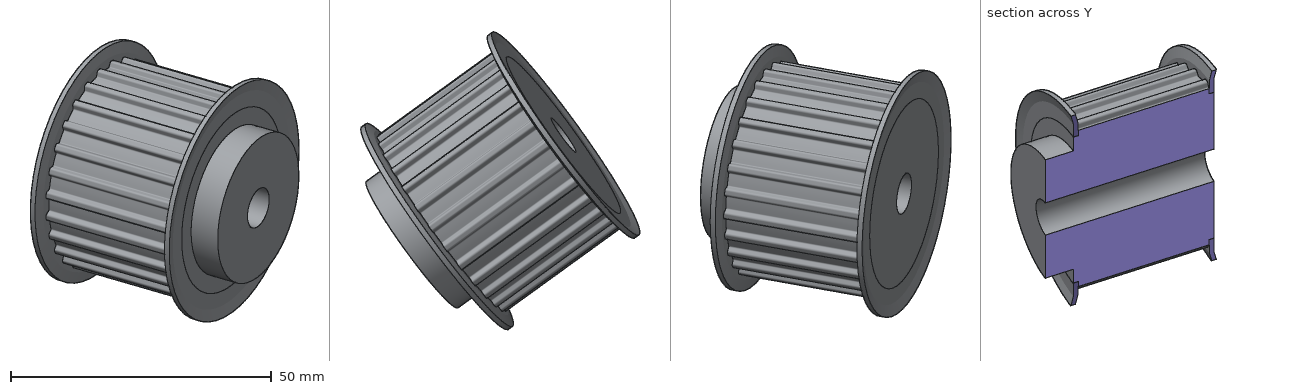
import cadquery as cq
import math


overall_length = 36.6
toothed_length = 28.0
flange_depth = 1.6
flange_thickness = 1.05
flange_dish = flange_depth - flange_thickness
flange_span = toothed_length + 2 * flange_depth
teeth_start = flange_depth
shoulder_length = toothed_length + 2 * flange_thickness

flange_diameter = 48.0
dish_diameter = 43.5
seat_diameter = 37.0
hub_diameter = 30.0
bore_diameter = 8.0

tooth_count = 27
tip_radius = 20.9
root_radius = 19.8
groove_half_width = 1.315
flank_angle = math.radians(25)
root_fillet = 0.28
tip_fillet = 0.455
pitch_angle = 2 * math.pi / tooth_count
first_groove_angle = -math.pi / 2


def polar(radius, angle):
    """Point in the YZ plane at a radius, with the angle measured from +Z towards +Y."""
    return (radius * math.sin(angle), radius * math.cos(angle))


def flank_points():
    """Radius and angle, from the groove centre line, of the six points along one groove side."""
    flank_offset = groove_half_width * math.cos(flank_angle) - root_radius * math.sin(flank_angle)
    normal_angle = math.pi / 2 + flank_angle

    def fillet(circle_radius, fillet_radius, side):
        """Fillet points on the flank, on the arc's middle and on the root or tip circle."""
        centre_radius = circle_radius + side * fillet_radius
        centre_angle = normal_angle - math.acos((flank_offset - side * fillet_radius) / centre_radius)
        centre = polar(centre_radius, centre_angle)
        flank_direction = normal_angle if side > 0 else normal_angle - math.pi
        circle_direction = centre_angle + math.pi if side > 0 else centre_angle
        points = []
        for direction in (flank_direction, (flank_direction + circle_direction) / 2, circle_direction):
            step = polar(fillet_radius, direction)
            across = centre[0] + step[0]
            outward = centre[1] + step[1]
            points.append((math.hypot(across, outward), math.atan2(across, outward)))
        return points

    root_side = fillet(root_radius, root_fillet, 1)
    tip_side = fillet(tip_radius, tip_fillet, -1)
    return root_side[::-1] + tip_side


def tooth_outline():
    """Closed outline of all the teeth on a plane across the axis."""
    root_start, root_middle, flank_low, flank_high, tip_middle, tip_start = flank_points()
    outline = cq.Workplane("YZ", origin=(teeth_start, 0, 0))

    def at(point, groove_angle, mirror=1):
        return polar(point[0], groove_angle + mirror * point[1])

    outline = outline.moveTo(*at(root_start, first_groove_angle, -1))
    for index in range(tooth_count):
        groove = first_groove_angle + index * pitch_angle
        next_groove = groove + pitch_angle
        outline = (
            outline
            .threePointArc(polar(root_radius, groove), at(root_start, groove))
            .threePointArc(at(root_middle, groove), at(flank_low, groove))
            .lineTo(*at(flank_high, groove))
            .threePointArc(at(tip_middle, groove), at(tip_start, groove))
            .threePointArc(polar(tip_radius, groove + pitch_angle / 2), at(tip_start, next_groove, -1))
            .threePointArc(at(tip_middle, next_groove, -1), at(flank_high, next_groove, -1))
            .lineTo(*at(flank_low, next_groove, -1))
            .threePointArc(at(root_middle, next_groove, -1), at(root_start, next_groove, -1))
        )
    return outline.close()


def cylinder(diameter, start, length):
    """Solid cylinder on the X axis."""
    return cq.Workplane("YZ", origin=(start, 0, 0)).circle(diameter / 2).extrude(length)


def make_pulley_body():
    """Toothed drum with a flange seat at each end, the hub and the through bore."""
    teeth = tooth_outline().extrude(toothed_length)
    seats = cylinder(seat_diameter, flange_dish, shoulder_length)
    hub = cylinder(hub_diameter, flange_dish, overall_length - flange_dish)
    bore = cylinder(bore_diameter, 0, overall_length)
    return teeth.union(seats).union(hub).cut(bore).solids()


def make_flange(rim_face, inward):
    """Dished ring whose rim starts at rim_face; inward is +1 or -1 along X, towards the teeth."""
    seat_radius = seat_diameter / 2
    dish_radius = dish_diameter / 2
    rim_radius = flange_diameter / 2
    profile = [
        (flange_dish, seat_radius),
        (flange_dish, dish_radius),
        (0, rim_radius),
        (flange_thickness, rim_radius),
        (flange_depth, dish_radius),
        (flange_depth, seat_radius),
    ]
    section = [(rim_face + inward * depth, radius) for depth, radius in profile]
    return cq.Workplane("XY").polyline(section).close().revolve(360, (0, 0, 0), (1, 0, 0))


pulley_body = make_pulley_body()
flanges = [
    make_flange(rim_face, inward)
    for rim_face, inward in ((0, 1), (flange_span, -1))
]

result = cq.Compound.makeCompound([pulley_body.val(), *[flange.val() for flange in flanges]])